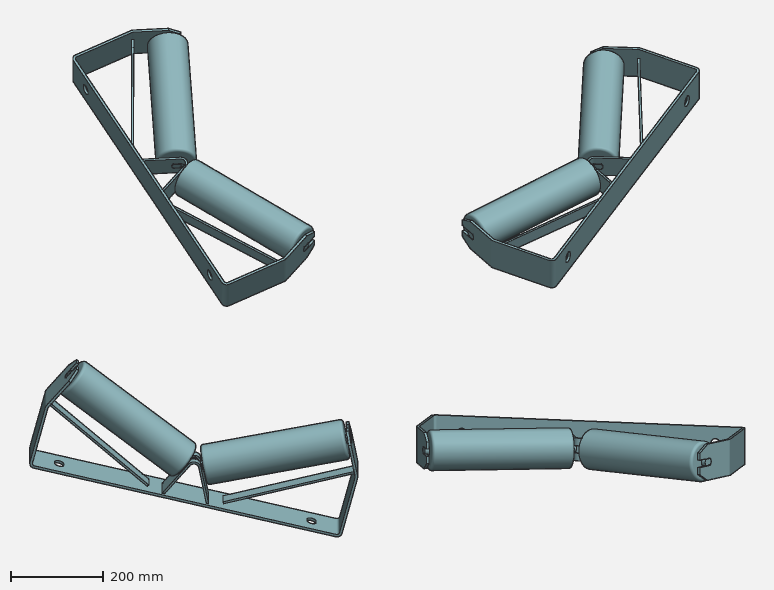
import cadquery as cq
import math

frame_length = 700.0
strap_thickness = 6.0
strap_height = 80.0
corner_bend_radius = 12.0
ear_bend_radius = 15.5
ear_bend_y = 151.0
ear_length = 106.5
ear_chamfer_along = 27.0
ear_chamfer_height = 16.0
mount_hole_spacing = 565.5
mount_hole_width = 20.0
mount_hole_height = 26.0

trough_angle = 25.0
roller_dip_angle = 1.2
roller_diameter = 89.0
roller_length = 315.0
roller_rim_radius = 6.0
roller_axis_offset = 66.0
shaft_diameter = 20.0
shaft_flat_width = 14.0
shaft_neck_length = 4.0

slot_width = 16.0
slot_clearance = 0.35

bracket_foot_span = 104.0
bracket_thickness = 5.0
bracket_height = 50.5
bracket_bend_radius = 15.5

brace_thickness = 5.0
brace_height = 30.0
brace_wall_y = 147.0
brace_foot_x = 85.5

trough = math.radians(trough_angle)
dip = math.radians(roller_dip_angle)
axial = cq.Vector(math.cos(trough), -math.sin(trough), 0)
rise = cq.Vector(math.sin(trough), math.cos(trough), 0)
up = cq.Vector(0, 0, 1)

wall_x = -frame_length / 2
ear_bend = cq.Vector(wall_x, ear_bend_y, 0)
ear_tip = ear_bend + rise * ear_length
bracket_foot = cq.Vector(-bracket_foot_span / 2, strap_thickness, 0)
bracket_apex_y = strap_thickness + bracket_foot_span / 2 / math.tan(trough)

ear_outer_face = ear_bend.dot(axial)
ear_inner_face = ear_outer_face + strap_thickness
bracket_outer_face = bracket_foot.dot(axial)
bracket_inner_face = bracket_outer_face + bracket_thickness
roller_middle = (ear_inner_face + bracket_outer_face) / 2
shaft_length = bracket_inner_face - ear_outer_face

bracket_drop = (bracket_outer_face - ear_inner_face) * math.tan(dip)
roller_middle_z = -bracket_drop / 2


def mirrored(body):
    """Copy of a body on the other side of the YZ plane."""
    return body.mirror("YZ")


def folded_strip(corners, outer_radii, thickness, height):
    """Flat bar on edge, folded along its outer corners, with its thickness on their right."""
    points = [cq.Vector(*corner) for corner in corners]
    path = cq.Wire.makePolygon(points)
    for point, radius in zip(points[1:-1], outer_radii):
        nearest = min(path.Vertices(), key=lambda vertex: (vertex.Center() - point).Length)
        path = path.fillet2D(radius, [nearest])
    heading = (points[1] - points[0]).normalized()
    section = cq.Plane(origin=points[0], xDir=heading.cross(up), normal=heading)
    return (
        cq.Workplane(section)
        .center(thickness / 2, 0)
        .rect(thickness, height)
        .sweep(cq.Workplane(path), transition="right")
    )


def shaft_slot(face, depth, z):
    """Cutter for a slot open along "rise", with a round seat under the shaft."""
    half_width = slot_width / 2
    seat_radius = shaft_diameter / 2 + slot_clearance
    seat_start = -math.sqrt(seat_radius**2 - half_width**2)
    open_end = ear_length
    origin = axial * face + rise * roller_axis_offset + up * z
    return (
        cq.Workplane(cq.Plane(origin=origin, xDir=rise, normal=axial))
        .moveTo(open_end, -half_width)
        .lineTo(seat_start, -half_width)
        .threePointArc((-seat_radius, 0), (seat_start, half_width))
        .lineTo(open_end, half_width)
        .close()
        .extrude(depth)
    )


def ear_corner(side):
    """Cutter for the sloping corner of the ear tip, on the upper (1) or lower (-1) edge."""
    tip = ear_tip + up * (side * strap_height / 2)
    return (
        cq.Workplane(cq.Plane(origin=tip, xDir=rise, normal=axial))
        .polyline([(0, 0), (-ear_chamfer_along, 0), (0, -side * ear_chamfer_height)])
        .close()
        .extrude(strap_thickness)
    )


def make_frame():
    left_side = [(ear_tip.x, ear_tip.y), (wall_x, ear_bend_y), (wall_x, 0)]
    right_side = [(-x, y) for x, y in reversed(left_side)]
    corners = list(reversed(left_side + right_side))
    bend_radii = [ear_bend_radius, corner_bend_radius, corner_bend_radius, ear_bend_radius]
    frame = folded_strip(corners, bend_radii, strap_thickness, strap_height)

    for cutter in (shaft_slot(ear_outer_face, strap_thickness, 0), ear_corner(1), ear_corner(-1)):
        frame = frame.cut(cutter).cut(mirrored(cutter))

    mount_holes = (
        cq.Workplane("XZ")
        .pushPoints([(-mount_hole_spacing / 2, 0), (mount_hole_spacing / 2, 0)])
        .slot2D(mount_hole_height, mount_hole_width, 90)
        .extrude(-strap_thickness)
    )
    return frame.cut(mount_holes)


def make_bracket():
    left_start = bracket_foot - rise * (strap_thickness / rise.y)
    corners = [(left_start.x, left_start.y), (0, bracket_apex_y), (-left_start.x, left_start.y)]
    bracket = folded_strip(corners, [bracket_bend_radius], bracket_thickness, bracket_height)
    bracket = bracket.translate((0, 0, -bracket_drop))

    below_base_surface = cq.Workplane("XY").box(
        frame_length, 2 * strap_thickness, 2 * strap_height
    )
    bracket_slot_depth = 2 * bracket_thickness
    slot = shaft_slot(bracket_outer_face, bracket_slot_depth, -bracket_drop)
    return bracket.cut(below_base_surface).cut(slot).cut(mirrored(slot))


def make_roller():
    """Left-hand roller with its shaft."""
    middle = axial * roller_middle + rise * roller_axis_offset + up * roller_middle_z
    direction = axial * math.cos(dip) - up * math.sin(dip)
    plane = cq.Plane(origin=middle, xDir=rise, normal=direction)

    def centred_cylinder(diameter, length):
        return cq.Workplane(plane).cylinder(length, diameter / 2)

    drum = centred_cylinder(roller_diameter, roller_length).edges().fillet(roller_rim_radius)
    neck = centred_cylinder(shaft_diameter, roller_length + 2 * shaft_neck_length)
    flats = centred_cylinder(shaft_diameter, shaft_length).intersect(
        cq.Workplane(plane).box(shaft_diameter, shaft_flat_width, shaft_length)
    )
    return drum.union(neck).union(flats)


def make_brace():
    """Left-hand square-ended brace from the side wall down to the base."""
    wall_end = cq.Vector(wall_x + strap_thickness, brace_wall_y, 0)
    run = cq.Vector(-brace_foot_x, strap_thickness, 0) - wall_end
    plane = cq.Plane(origin=wall_end, xDir=run, normal=up)
    return cq.Workplane(plane).box(
        run.Length, brace_thickness, brace_height, centered=(False, False, True)
    )


frame = make_frame()
bracket = make_bracket()
left_roller = make_roller()
left_brace = make_brace()

bodies = [frame.solids().val(), bracket.solids().val()]
for side_body in (left_roller, left_brace):
    bodies += [side_body.solids().val(), mirrored(side_body).solids().val()]

result = cq.Compound.makeCompound(bodies)